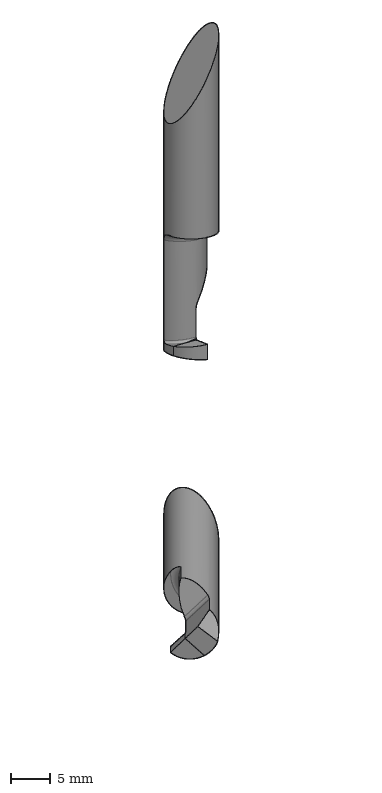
import cadquery as cq
import math

shank_radius = 3.5
overall_height = 43.31
end_cut_angle = 60

neck_shift = 2.73
neck_top = 16.27
neck_fillet = 1.05
neck_edge_x = -neck_shift / 2
neck_edge_y = -math.sqrt(shank_radius**2 - neck_edge_x**2)

rake_y = 0.24
rake_corner_z = 6.45
rake_runout_angle = 30
rake_fillet = 2.0

head_arc_radius = 3.75
head_height = 2.05
head_side_slope = 2.5
head_clearance = 4.5
head_root_fillet = 0.35
heel_height = 2.3
tip_joint_x = 0.85

side_slope = math.tan(math.radians(head_side_slope))
clearance_slope = math.tan(math.radians(head_clearance))
cutting_edge = (math.sqrt(shank_radius**2 - rake_y**2), rake_y)
margin = 2 * shank_radius


def slanted_half_space(origin, normal):
    """Large block filling the side of a plane that its normal points to."""
    size = 3 * overall_height
    plane = cq.Plane(origin=origin, normal=normal)
    return cq.Workplane(plane).rect(size, size).extrude(size)


def below_head():
    """Everything under the sloping end face of the head."""
    return slanted_half_space((shank_radius, rake_y, 0), (-side_slope, -clearance_slope, -1))


def make_shank():
    shank = cq.Workplane("XY").circle(shank_radius).extrude(overall_height)
    end_slope = math.tan(math.radians(end_cut_angle))
    return shank.cut(slanted_half_space((0, shank_radius, overall_height), (0, -end_slope, 1)))


def make_neck_cylinder():
    """Shifted cylinder that bounds the +X side of the neck."""
    neck = cq.Workplane("XY", origin=(-neck_shift, 0, -margin))
    return neck.circle(shank_radius).extrude(neck_top + margin)


def make_neck_relief():
    """Space beside the neck, with a rounded upper corner where the neck meets the shoulder."""
    block = cq.Workplane("XY", origin=(0, 0, -margin))
    block = block.rect(2 * margin, 2 * margin).extrude(neck_top + margin)
    flare = (
        cq.Workplane("XZ", origin=(-neck_shift, 0, 0))
        .moveTo(0, neck_top)
        .lineTo(shank_radius + neck_fillet, neck_top)
        .radiusArc((shank_radius, neck_top - neck_fillet), -neck_fillet)
        .lineTo(0, neck_top - neck_fillet)
        .close()
        .revolve(360, (0, 0, 0), (0, 1, 0))
    )
    return block.cut(make_neck_cylinder()).cut(flare)


def make_rake_relief():
    runout = margin - rake_y
    relief = (
        cq.Workplane("YZ", origin=(-margin, 0, 0))
        .moveTo(rake_y, -margin)
        .lineTo(rake_y, rake_corner_z)
        .lineTo(margin, rake_corner_z + runout / math.tan(math.radians(rake_runout_angle)))
        .lineTo(margin, -margin)
        .close()
        .extrude(2 * margin)
    )
    corner = cq.selectors.NearestToPointSelector((0, rake_y, rake_corner_z))
    return relief.edges(corner).fillet(rake_fillet)


def below_head_top():
    """Everything under the sloping top face of the head."""
    return slanted_half_space((shank_radius, rake_y, head_height), (side_slope, clearance_slope, -1))


def make_head_column():
    """Outline of the head seen along Z, as a tall column."""
    return (
        cq.Workplane("XY", origin=(0, 0, -margin))
        .moveTo(*cutting_edge)
        .radiusArc((neck_edge_x, neck_edge_y), head_arc_radius)
        .lineTo(neck_edge_x, rake_y)
        .close()
        .extrude(2 * margin)
    )


def make_rooted_head(head_column):
    """Head joined to a length of the neck by the root fillet."""
    root_edge = cq.selectors.NearestToPointSelector((-neck_shift, 0, head_height))
    neck_on_plane = below_head_top().union(make_neck_cylinder())
    neck_on_plane = neck_on_plane.edges(root_edge).fillet(head_root_fillet)
    return head_column.intersect(neck_on_plane)


def make_heel_chamfer():
    return slanted_half_space((-shank_radius, 0, heel_height), (-1, 0, -1))


bar = make_shank().cut(make_neck_relief()).cut(make_rake_relief())
head_column = make_head_column()
beyond_joint = slanted_half_space((tip_joint_x, 0, 0), (1, 0, 0))

tip = head_column.intersect(below_head_top()).intersect(beyond_joint).cut(below_head())

inner_head = make_rooted_head(head_column).cut(beyond_joint)
body = bar.union(inner_head).cut(below_head()).cut(make_heel_chamfer())

result = cq.Compound.makeCompound([body.val(), tip.val()])